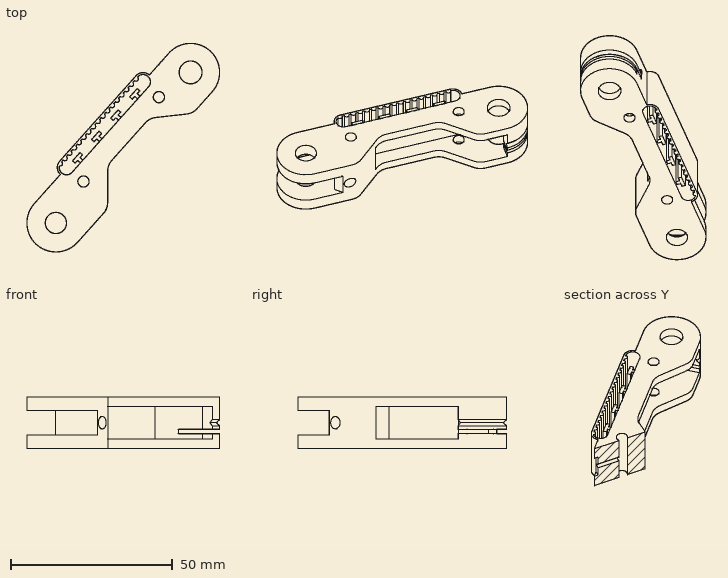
import cadquery as cq
import math

JOINT_DX = 41.66
JOINT_DY = 46.58
JOINT_SPACING = math.hypot(JOINT_DX, JOINT_DY)
LINK_ANGLE = math.degrees(math.atan2(JOINT_DY, JOINT_DX))
HEIGHT = 16.0
END_RADIUS = 9.0
OVERSIZE = 40.0
MARGIN = 1.0

WAIST_START_U = 24.08
WAIST_END_U = 43.43
FLANK_RUN = END_RADIUS * math.tan(math.radians(LINK_ANGLE))
CORNER_RADIUS = 5.0

PIVOT_A_DIAMETER = 6.5
PIVOT_B_DIAMETER = 7.0
PIN_DIAMETER = 3.4
PIN_V = 2.2
PIN_HALF_SPACING = 17.5

LOOP_CENTER_U = 32.75
LOOP_CENTER_V = END_RADIUS
LOOP_STRAIGHT = 35.5
LOOP_INNER_RADIUS = 2.25
LOOP_OUTER_RADIUS = 2.9
TOOTH_RADIUS = 0.75
TOOTH_PITCH = 2.2
TOOTH_COUNT = 17
FIRST_TOOTH_U = 14.55

RAIL_COUNT = 4
RAIL_PITCH = 8.85
RAIL_HEAD_LENGTH = 3.5
RAIL_HEAD_THICKNESS = 1.1
RAIL_STEM_WIDTH = 1.2
RAIL_END_RECESS = 1.5
RAIL_TOP_V = LOOP_CENTER_V

FORK_GAP = 7.5
FORK_RADIUS = 9.6
FORK_TIP_RADIUS = 0.8
FORK_LEFT_STOP_X = -0.15
FORK_RIGHT_STOP_Y = 0.63
FORK_RIGHT_STOP_X = 10.37
STOP_TILT = 5.0
FORK_REACH = 14.0

CAVITY_HEIGHT = 10.0
CAVITY_BORE_RADIUS = 5.0
CAVITY_START_U = 22.0
CAVITY_STOP_U = 51.4
CAVITY_TIP_RADIUS = 0.75
CAVITY_TIP_SWEEP = 56.0

SPLIT_TOP_Z = -2.1
SPLIT_BOTTOM_Z = -3.35
GROOVE_DEPTH = 1.0
GROOVE_START_U = 58.2

SIDE_HOLE_DIAMETER = 3.8
SIDE_HOLE_U = 11.5
SIDE_HOLE_DEPTH = 6.0
STOP_HOLE_DIAMETER = 1.4
STOP_HOLE_Y = 11.9
ANCHOR_HOLE_DIAMETER = 1.5
ANCHOR_HOLE_U = 58.4
ANCHOR_HOLE_Z = 2.4
ANCHOR_HOLE_DEPTH = 3.0


def prism(outline, height):
    """Extrude a closed outline symmetrically about the middle plane."""
    return outline.extrude(height / 2, both=True)


def disc(u, v, radius, height):
    return prism(cq.Workplane("XY").center(u, v).circle(radius), height)


def block(u_min, u_max, v_min, v_max, height):
    center = ((u_min + u_max) / 2, (v_min + v_max) / 2)
    return prism(cq.Workplane("XY").center(*center).rect(u_max - u_min, v_max - v_min), height)


def to_link(shape):
    """Turn a shape from part axes into link coordinates."""
    return shape.rotate((0, 0, 0), (0, 0, 1), -LINK_ANGLE)


def make_plate():
    outline = (
        cq.Workplane("XY")
        .moveTo(0, END_RADIUS)
        .threePointArc((-END_RADIUS, 0), (0, -END_RADIUS))
        .lineTo(WAIST_START_U - FLANK_RUN, -END_RADIUS)
        .lineTo(WAIST_START_U, 0)
        .lineTo(WAIST_END_U, 0)
        .lineTo(WAIST_END_U + FLANK_RUN, -END_RADIUS)
        .lineTo(JOINT_SPACING, -END_RADIUS)
        .threePointArc((JOINT_SPACING + END_RADIUS, 0), (JOINT_SPACING, END_RADIUS))
        .close()
    )
    corners = cq.selectors.BoxSelector(
        (WAIST_START_U - FLANK_RUN - MARGIN, -END_RADIUS - MARGIN, -HEIGHT),
        (WAIST_END_U + FLANK_RUN + MARGIN, MARGIN, HEIGHT),
    )
    return prism(outline, HEIGHT).edges("|Z").edges(corners).fillet(CORNER_RADIUS)


def loop_body(radius):
    outline = (
        cq.Workplane("XY")
        .center(LOOP_CENTER_U, LOOP_CENTER_V)
        .slot2D(LOOP_STRAIGHT + 2 * radius, 2 * radius)
    )
    return prism(outline, HEIGHT)


def make_teeth():
    """Half-round teeth along the inside of the loop's outer wall."""
    root_v = LOOP_CENTER_V + LOOP_INNER_RADIUS
    centers = [(FIRST_TOOTH_U + i * TOOTH_PITCH, root_v) for i in range(TOOTH_COUNT)]
    teeth = prism(cq.Workplane("XY").pushPoints(centers).circle(TOOTH_RADIUS), HEIGHT)
    return teeth.intersect(loop_body(LOOP_OUTER_RADIUS))


def make_rail(center_u):
    base_v = LOOP_CENTER_V - LOOP_INNER_RADIUS
    half_head = RAIL_HEAD_LENGTH / 2
    half_stem = RAIL_STEM_WIDTH / 2
    head_v = RAIL_TOP_V - RAIL_HEAD_THICKNESS
    length = HEIGHT - 2 * RAIL_END_RECESS
    head = block(center_u - half_head, center_u + half_head, head_v, RAIL_TOP_V, length)
    stem = block(center_u - half_stem, center_u + half_stem, base_v, head_v, length)
    return head.union(stem)


def make_fork_gap():
    """Gap for the mating link: a round seat ending in a stop face on either side."""
    tilt = math.tan(math.radians(STOP_TILT))
    stop_left_y = FORK_RIGHT_STOP_Y + tilt * (FORK_LEFT_STOP_X - FORK_RIGHT_STOP_X)
    stop_right_y = FORK_RIGHT_STOP_Y + tilt * (OVERSIZE - FORK_RIGHT_STOP_X)
    wedge = prism(
        cq.Workplane("XY").polyline([
            (FORK_LEFT_STOP_X, stop_left_y),
            (OVERSIZE, stop_right_y),
            (OVERSIZE, OVERSIZE),
            (FORK_LEFT_STOP_X, OVERSIZE),
        ]).close(),
        FORK_GAP,
    )
    tip_zone = cq.selectors.BoxSelector(
        (-MARGIN, -MARGIN, -FORK_GAP),
        (FORK_RADIUS + MARGIN, FORK_RADIUS + MARGIN, FORK_GAP),
    )
    end_wall = wedge.cut(disc(0, 0, FORK_RADIUS, FORK_GAP))
    end_wall = end_wall.edges("|Z").edges(tip_zone).fillet(FORK_TIP_RADIUS)
    reach = block(-FORK_REACH, FORK_REACH, -FORK_REACH, FORK_REACH, FORK_GAP)
    return to_link(reach.cut(end_wall))


def make_cavity():
    """Pocket open to the right side, running into a round bore about joint B."""
    tilt = math.radians(STOP_TILT)
    stop_v = CAVITY_BORE_RADIUS - math.tan(tilt) * (JOINT_SPACING - CAVITY_STOP_U)
    tip_u = CAVITY_STOP_U - CAVITY_TIP_RADIUS * math.sin(tilt)
    tip_v = stop_v + CAVITY_TIP_RADIUS * math.cos(tilt)

    def tip_point(sweep):
        angle = math.radians(STOP_TILT - sweep)
        return (
            tip_u + CAVITY_TIP_RADIUS * math.sin(angle),
            tip_v - CAVITY_TIP_RADIUS * math.cos(angle),
        )

    tip_start = tip_point(CAVITY_TIP_SWEEP)
    outline = (
        cq.Workplane("XY")
        .moveTo(CAVITY_START_U, -OVERSIZE)
        .lineTo(CAVITY_START_U, tip_start[1])
        .lineTo(*tip_start)
        .threePointArc(tip_point(CAVITY_TIP_SWEEP / 2), (CAVITY_STOP_U, stop_v))
        .lineTo(JOINT_SPACING, CAVITY_BORE_RADIUS)
        .lineTo(JOINT_SPACING, -OVERSIZE)
        .close()
    )
    bore = disc(JOINT_SPACING, 0, CAVITY_BORE_RADIUS, CAVITY_HEIGHT)
    return prism(outline, CAVITY_HEIGHT).union(bore)


def make_split():
    thickness = SPLIT_TOP_Z - SPLIT_BOTTOM_Z
    split = block(JOINT_SPACING, JOINT_SPACING + OVERSIZE, -OVERSIZE, OVERSIZE, thickness)
    return split.translate((0, 0, (SPLIT_TOP_Z + SPLIT_BOTTOM_Z) / 2))


def make_groove():
    """V groove along the left side and half way round the end at joint B."""
    profile = [
        (END_RADIUS - GROOVE_DEPTH, 0),
        (END_RADIUS, GROOVE_DEPTH),
        (END_RADIUS, -GROOVE_DEPTH),
    ]
    section = cq.Workplane("YZ").polyline(profile).close()
    straight = section.extrude(JOINT_SPACING - GROOVE_START_U).translate((GROOVE_START_U, 0, 0))
    round_end = (
        cq.Workplane("YZ").polyline(profile).close()
        .revolve(180, (0, 0, 0), (0, -1, 0))
        .translate((JOINT_SPACING, 0, 0))
    )
    return straight.union(round_end)


def make_side_hole():
    return (
        cq.Workplane("XZ", origin=(SIDE_HOLE_U, -END_RADIUS, 0))
        .circle(SIDE_HOLE_DIAMETER / 2)
        .extrude(-SIDE_HOLE_DEPTH)
    )


def make_anchor_hole():
    """Blind hole in the left side above the start of the string groove."""
    return (
        cq.Workplane("XZ", origin=(ANCHOR_HOLE_U, END_RADIUS, ANCHOR_HOLE_Z))
        .circle(ANCHOR_HOLE_DIAMETER / 2)
        .extrude(ANCHOR_HOLE_DEPTH)
    )


def make_stop_hole(pin_u):
    """Hole from the left fork stop to the pin hole nearest to joint A."""
    angle = math.radians(LINK_ANGLE)
    pin_x = pin_u * math.cos(angle) - PIN_V * math.sin(angle)
    hole = (
        cq.Workplane("YZ", origin=(FORK_LEFT_STOP_X, STOP_HOLE_Y, 0))
        .circle(STOP_HOLE_DIAMETER / 2)
        .extrude(pin_x - FORK_LEFT_STOP_X)
    )
    return to_link(hole)


link = make_plate().union(loop_body(LOOP_OUTER_RADIUS))
link = link.cut(loop_body(LOOP_INNER_RADIUS)).union(make_teeth())
for rail_index in range(RAIL_COUNT):
    rail_offset = (rail_index - (RAIL_COUNT - 1) / 2) * RAIL_PITCH
    link = link.union(make_rail(LOOP_CENTER_U + rail_offset))

link = link.cut(make_fork_gap()).cut(make_cavity()).cut(make_split()).cut(make_groove())

pin_a_u = LOOP_CENTER_U - PIN_HALF_SPACING
pin_b_u = LOOP_CENTER_U + PIN_HALF_SPACING
link = link.cut(disc(0, 0, PIVOT_A_DIAMETER / 2, HEIGHT))
link = link.cut(disc(JOINT_SPACING, 0, PIVOT_B_DIAMETER / 2, HEIGHT))
link = link.cut(disc(pin_a_u, PIN_V, PIN_DIAMETER / 2, HEIGHT))
link = link.cut(disc(pin_b_u, PIN_V, PIN_DIAMETER / 2, HEIGHT))
link = link.cut(make_side_hole()).cut(make_anchor_hole()).cut(make_stop_hole(pin_a_u))

result = link.rotate((0, 0, 0), (0, 0, 1), LINK_ANGLE)